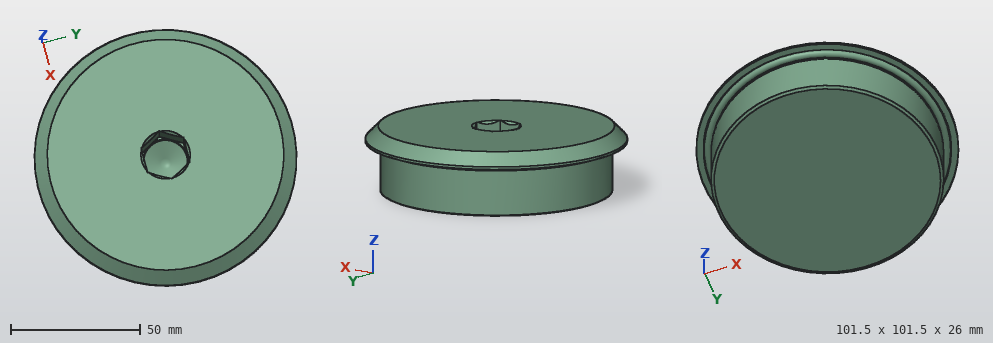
import cadquery as cq
import math

flange_diameter = 101.5
flange_height = 6.0
flange_chamfer = 5.0
shank_diameter = 90.0
shank_length = 20.0
lead_in_width = 1.2
lead_in_height = 0.6

hex_across_flats = 17.0
hex_depth = 10.0
socket_mouth_diameter = 19.1
pilot_depth = 1.8
drill_point_angle = 120.0

ring_outer_diameter = 95.4
ring_section_diameter = 3.0

seat_outer_diameter = 96.0

flange_radius = flange_diameter / 2
shank_radius = shank_diameter / 2
total_height = shank_length + flange_height
ring_section_radius = ring_section_diameter / 2
ring_center_radius = ring_outer_diameter / 2 - ring_section_radius
ring_inner_radius = ring_outer_diameter / 2 - ring_section_diameter


def make_blank():
    """Revolved plug body, before the groove and socket are cut."""
    return (
        cq.Workplane("XZ")
        .moveTo(0, 0)
        .lineTo(shank_radius - lead_in_width, 0)
        .lineTo(shank_radius, lead_in_height)
        .lineTo(shank_radius, shank_length)
        .lineTo(flange_radius, shank_length)
        .lineTo(flange_radius, total_height - flange_chamfer)
        .lineTo(flange_radius - flange_chamfer, total_height)
        .lineTo(0, total_height)
        .close()
        .revolve(360, (0, 0, 0), (0, 1, 0))
    )


def make_cone(base_diameter, depth, base_z):
    """Cone with its base at base_z and its tip pointing down."""
    return cq.Workplane(
        cq.Solid.makeCone(base_diameter / 2, 0, depth, cq.Vector(0, 0, base_z), cq.Vector(0, 0, -1))
    )


def make_socket():
    """Hexagonal recess with a 45 degree countersink above a round pilot hole with a conical end."""
    hex_floor_z = total_height - hex_depth
    hexagon = (
        cq.Workplane("XY", origin=(0, 0, hex_floor_z))
        .polygon(6, hex_across_flats / math.cos(math.pi / 6))
        .extrude(hex_depth)
    )
    countersink = make_cone(socket_mouth_diameter, socket_mouth_diameter / 2, total_height)
    pilot_floor_z = hex_floor_z - pilot_depth
    pilot = (
        cq.Workplane("XY", origin=(0, 0, pilot_floor_z))
        .circle(hex_across_flats / 2)
        .extrude(pilot_depth)
    )
    point_depth = hex_across_flats / 2 / math.tan(math.radians(drill_point_angle / 2))
    drill_point = make_cone(hex_across_flats, point_depth, pilot_floor_z)
    return hexagon.union(countersink).union(pilot).union(drill_point)


def make_sealing_ring():
    """Round-section ring around the neck, centred on the flange underside."""
    center = cq.Vector(0, 0, shank_length)
    return cq.Workplane(cq.Solid.makeTorus(ring_center_radius, ring_section_radius, center))


def make_ring_seat():
    """Annular channel with the height of the ring section; its inner wall touches the ring."""
    return (
        cq.Workplane("XY", origin=(0, 0, shank_length - ring_section_radius))
        .circle(seat_outer_diameter / 2)
        .circle(ring_inner_radius)
        .extrude(ring_section_diameter)
    )


def make_plug():
    """Plug with its socket and the seat for the ring."""
    return make_blank().cut(make_socket()).cut(make_ring_seat())


plug = make_plug()
sealing_ring = make_sealing_ring()

result = cq.Compound.makeCompound([*plug.solids().vals(), sealing_ring.val()])